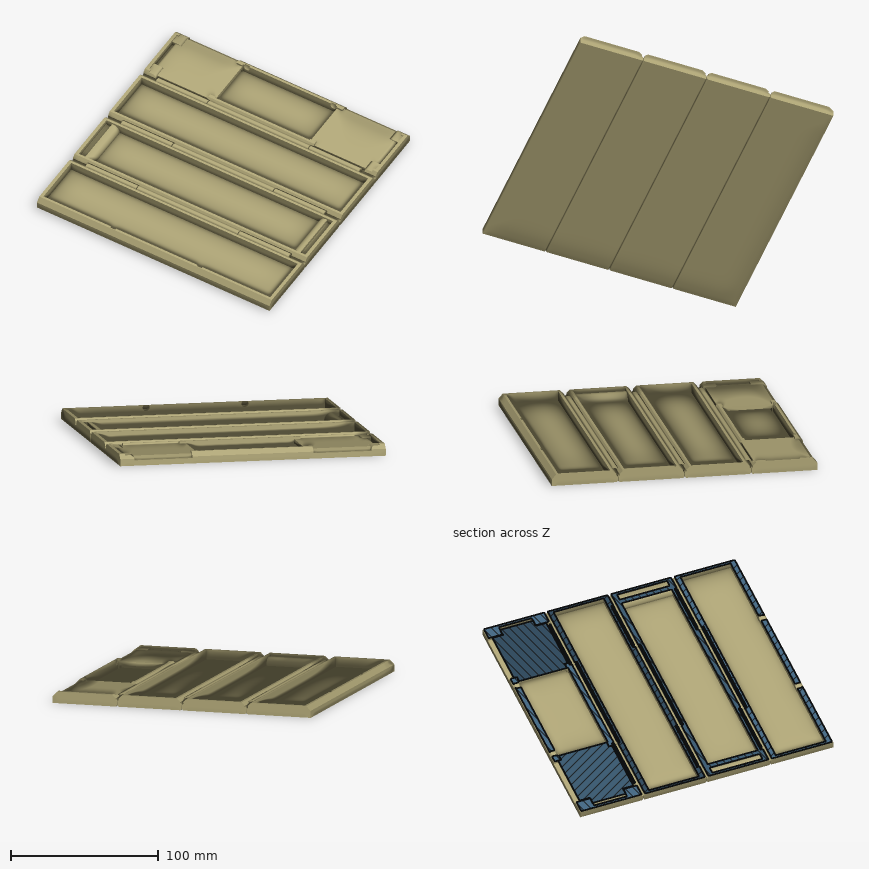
import cadquery as cq

LENGTH = 184.0
HEIGHT = 8.0
TOTAL_WIDTH = 183.5
PANEL_COUNT = 4
RIB_PANEL = 1
SEAT_PANEL = 3
PANEL_GAP = 0.4
PITCH = (TOTAL_WIDTH + PANEL_GAP) / PANEL_COUNT
PANEL_WIDTH = PITCH - PANEL_GAP

CHAMFER = 3.1
FLOOR = 1.3
END_WALL = 2.4
RIM = 1.7
SIDE_WALL = CHAMFER + RIM
UNDER_CHAMFER = 0.7
POCKET_LENGTH = LENGTH - 2 * END_WALL
POCKET_WIDTH = PANEL_WIDTH - 2 * SIDE_WALL

HINGE_Z = 5.0
KNUCKLE_RADIUS = 2.4
KNUCKLE_CLEARANCE = 0.4
KNUCKLE_END_GAP = 0.7
PIN_HOLE_DIAMETER = 2.4
HINGE_HALF = 80.2
MIDDLE_HALF = 39.7

MAGNET_X = 34.2
MAGNET_Z = 6.5
MAGNET_DIAMETER = 4.8
MAGNET_SKIN = 0.5

RIB_START = 7.0
RIB_FLAT = 0.7
RIB_RADIUS = 5.3
GROOVE_FLOOR = 3.7
GROOVE_BEVEL = 0.7

PLATE_START = 3.9
PLATE_SHOULDER = 50.0
PLATE_END = 54.6
SEAT_Z = 3.7
PLATE_THICKNESS = 2.8
PLATE_TOP = SEAT_Z + PLATE_THICKNESS
PLATE_WIDTH = PANEL_WIDTH - 2 * CHAMFER
PAD_THICKNESS = 1.0
NECK_WIDTH = POCKET_WIDTH - 2 * PAD_THICKNESS
CLIP_END = 9.8
CLIP_LENGTH = 11.0
CLIP_SPACING = PANEL_WIDTH - 2 * CLIP_LENGTH
CLIP_TOP = 7.0
CLIP_ROUND = 2.5

WALL_X = END_WALL - LENGTH / 2
RIB_X = RIB_START - LENGTH / 2
PLATE_START_X = PLATE_START - LENGTH / 2
SHOULDER_X = PLATE_SHOULDER - LENGTH / 2
PLATE_END_X = PLATE_END - LENGTH / 2
CLIP_END_X = CLIP_END - LENGTH / 2


def block(x0, x1, y, width, z0, z1):
    """Box between the given X and Z limits, centred on y."""
    box = cq.Workplane("XY").box(x1 - x0, width, z1 - z0, centered=False)
    return box.translate((x0, y - width / 2, z0))


def bar(x0, x1, y, radius):
    """Round bar along X at hinge height."""
    return cq.Workplane("YZ", origin=(x0, y, HINGE_Z)).circle(radius).extrude(x1 - x0)


def panel_y(index):
    """Centre of a panel, counted from the -Y side."""
    return (index - (PANEL_COUNT - 1) / 2) * PITCH


def both_ends(shape):
    """The shape at the -X end together with its mirror image at the +X end."""
    return shape.union(shape.mirror("YZ"))


def panel_blank(y, bevel_south, bevel_north):
    """Solid panel with bevelled top edges, and small lower bevels on its hinged sides."""
    half = PANEL_WIDTH / 2
    south = UNDER_CHAMFER if bevel_south else 0
    north = UNDER_CHAMFER if bevel_north else 0
    points = [(south - half, 0), (half - north, 0)]
    if north:
        points.append((half, north))
    points += [(half, HEIGHT - CHAMFER), (half - CHAMFER, HEIGHT)]
    points += [(CHAMFER - half, HEIGHT), (-half, HEIGHT - CHAMFER)]
    if south:
        points.append((-half, south))
    profile = cq.Workplane("YZ", origin=(-LENGTH / 2, y, 0)).polyline(points).close()
    return profile.extrude(LENGTH)


def pocket(y, half_length):
    """Rectangular pocket above the panel floor."""
    return block(-half_length, half_length, y, POCKET_WIDTH, FLOOR, HEIGHT)


def knuckle_spans():
    """X ranges of the outer knuckles and of the middle knuckle of a hinge."""
    outer_start = MIDDLE_HALF + KNUCKLE_END_GAP
    outer = [(-HINGE_HALF, -outer_start), (outer_start, HINGE_HALF)]
    middle = [(-MIDDLE_HALF, MIDDLE_HALF)]
    return outer, middle


def add_hinge(panel, axis_y, own_spans, other_spans):
    """Clear the panel around the other panel's knuckles, add its own and bore the pin hole."""
    for start, end in other_spans:
        start -= KNUCKLE_END_GAP
        end += KNUCKLE_END_GAP
        panel = panel.cut(bar(start, end, axis_y, KNUCKLE_RADIUS + KNUCKLE_CLEARANCE))
    for start, end in own_spans:
        panel = panel.union(bar(start, end, axis_y, KNUCKLE_RADIUS))
    return panel.cut(bar(-LENGTH / 2, LENGTH / 2, axis_y, PIN_HOLE_DIAMETER / 2))


def add_hinges(panel, index):
    """Middle knuckle on the -Y side of a panel, outer knuckles on its +Y side."""
    outer, middle = knuckle_spans()
    y = panel_y(index)
    if index > 0:
        panel = add_hinge(panel, y - PITCH / 2, middle, outer)
    if index < PANEL_COUNT - 1:
        panel = add_hinge(panel, y + PITCH / 2, outer, middle)
    return panel


def magnet_recesses(y, side, blank):
    """Round recesses open to the pocket and rim; side is -1 for the -Y wall, 1 for the +Y wall."""
    bore = (
        cq.Workplane("XZ", origin=(0, y + side * POCKET_WIDTH / 2, 0))
        .pushPoints([(-MAGNET_X, MAGNET_Z), (MAGNET_X, MAGNET_Z)])
        .circle(MAGNET_DIAMETER / 2)
        .extrude(-side * SIDE_WALL)
    )
    return bore.intersect(blank.translate((0, -side * MAGNET_SKIN, 0)))


def end_ribs(y):
    """Ribs near the pocket ends, quarter-round inwards, each with a bevelled groove behind it."""
    flat_end = RIB_X + RIB_FLAT
    rib = (
        cq.Workplane("XZ", origin=(0, y + POCKET_WIDTH / 2, 0))
        .moveTo(WALL_X, FLOOR)
        .lineTo(flat_end + RIB_RADIUS, FLOOR)
        .radiusArc((flat_end, FLOOR + RIB_RADIUS), -RIB_RADIUS)
        .lineTo(RIB_X, FLOOR + RIB_RADIUS)
        .lineTo(RIB_X, GROOVE_FLOOR + GROOVE_BEVEL)
        .lineTo(RIB_X - GROOVE_BEVEL, GROOVE_FLOOR)
        .lineTo(WALL_X + GROOVE_BEVEL, GROOVE_FLOOR)
        .lineTo(WALL_X, GROOVE_FLOOR + GROOVE_BEVEL)
        .close()
        .extrude(POCKET_WIDTH)
    )
    return both_ends(rib)


def corner_clips(y):
    """Two clips at the -X end of the seat panel, each with a quarter-round inner edge."""
    clips = (
        cq.Workplane("XZ", origin=(0, y + PANEL_WIDTH / 2, 0))
        .moveTo(WALL_X, SEAT_Z)
        .lineTo(CLIP_END_X, SEAT_Z)
        .lineTo(CLIP_END_X, CLIP_TOP - CLIP_ROUND)
        .radiusArc((CLIP_END_X - CLIP_ROUND, CLIP_TOP), -CLIP_ROUND)
        .lineTo(WALL_X, CLIP_TOP)
        .close()
        .extrude(PANEL_WIDTH)
    )
    return clips.cut(block(WALL_X, CLIP_END_X, y, CLIP_SPACING, SEAT_Z, CLIP_TOP))


def cover_plate(y):
    """Plate at the -X end: rounded outer end, corners notched around the clips, narrower inner neck."""
    body = (
        cq.Workplane("XZ", origin=(0, y + PLATE_WIDTH / 2, 0))
        .moveTo(PLATE_START_X, SEAT_Z)
        .lineTo(SHOULDER_X, SEAT_Z)
        .lineTo(SHOULDER_X, PLATE_TOP)
        .lineTo(PLATE_START_X + PLATE_THICKNESS, PLATE_TOP)
        .radiusArc((PLATE_START_X, SEAT_Z), -PLATE_THICKNESS)
        .close()
        .extrude(PLATE_WIDTH)
    )
    notches = block(PLATE_START_X, CLIP_END_X, y, PLATE_WIDTH, SEAT_Z, PLATE_TOP)
    notches = notches.cut(block(PLATE_START_X, CLIP_END_X, y, CLIP_SPACING, SEAT_Z, PLATE_TOP))
    neck = block(SHOULDER_X, PLATE_END_X, y, NECK_WIDTH, SEAT_Z, PLATE_TOP)
    return body.cut(notches).union(neck)


def cut_seats(blank, y):
    """Panel with a middle pocket, and at each end an open seat with its clips."""
    pads = block(SHOULDER_X, PLATE_END_X, y, PANEL_WIDTH, FLOOR, HEIGHT)
    pads = pads.cut(block(SHOULDER_X, PLATE_END_X, y, NECK_WIDTH, FLOOR, HEIGHT))
    seat = block(PLATE_START_X, SHOULDER_X, y, PANEL_WIDTH, SEAT_Z, HEIGHT)
    seat = seat.union(block(WALL_X, PLATE_START_X, y, POCKET_WIDTH, SEAT_Z, HEIGHT))
    additions = pads.union(corner_clips(y)).intersect(blank)
    panel = blank.cut(pocket(y, -SHOULDER_X)).cut(both_ends(seat))
    return panel.union(both_ends(additions))


def build_panel(index):
    """One panel of the row, counted from the -Y side."""
    y = panel_y(index)
    last = PANEL_COUNT - 1
    blank = panel_blank(y, index > 0, index < last)
    if index == SEAT_PANEL:
        panel = cut_seats(blank, y)
    else:
        panel = blank.cut(pocket(y, POCKET_LENGTH / 2))
    if index == RIB_PANEL:
        panel = panel.union(end_ribs(y))
    if index == 0:
        panel = panel.cut(magnet_recesses(y, -1, blank))
    if index == last:
        panel = panel.cut(magnet_recesses(y, 1, blank))
    return add_hinges(panel, index)


left_plate = cover_plate(panel_y(SEAT_PANEL))
plates = [left_plate, left_plate.mirror("YZ")]
panels = [build_panel(index) for index in range(PANEL_COUNT)]

result = cq.Compound.makeCompound([solid for body in panels + plates for solid in body.solids().vals()])